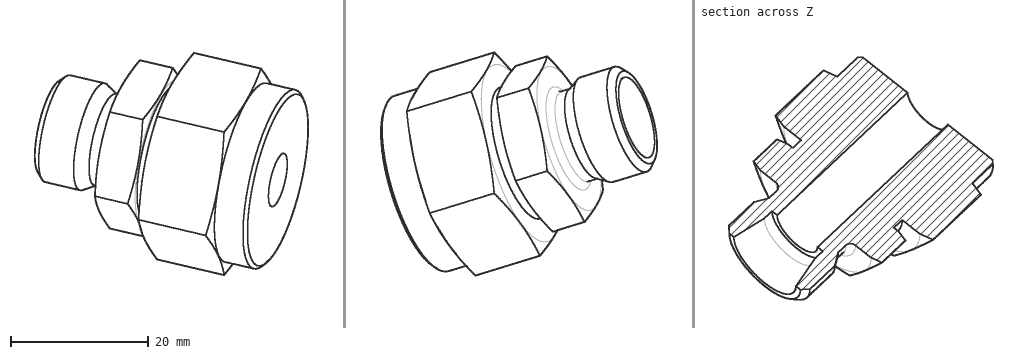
import cadquery as cq
import math

total_length = 35.2

spigot_radius = 8.03
spigot_chamfer = 1.0
spigot_end = 6.4
neck_radius = 6.85
neck_start = 8.38
neck_fillet = 1.0

body_hex_start = 10.95
body_hex_end = 17.0
body_hex_flats = 22.0
body_hex_chamfer_radius = 10.95

collar_radius = 10.03

nut_hex_start = 18.73
nut_hex_end = 30.27
nut_hex_flats = 27.0
nut_hex_chamfer_radius = 13.48
skirt_radius = 13.4
skirt_chamfer_length = 0.5
skirt_chamfer_depth = 0.55

hex_chamfer_angle = 15.0

mouth_radius = 6.12
seat_radius = 5.0
mouth_half_angle = 12.0
seat_depth = 7.0
through_radius = 3.98


def revolve_about_x(profile):
    """Turn a closed profile, drawn as (x, radius), about the X axis."""
    return profile.close().revolve(360, (0, 0, 0), (1, 0, 0))


def hexagon(start, end, across_flats, chamfer_radius):
    """Hexagonal prism along X, flats up and down, with its corners turned off at both ends."""
    corner_radius = across_flats / math.sqrt(3)
    prism = (
        cq.Workplane("YZ")
        .workplane(offset=start)
        .polygon(6, 2 * corner_radius)
        .extrude(end - start)
    )
    setback = (corner_radius - chamfer_radius) * math.tan(math.radians(hex_chamfer_angle))
    turned_envelope = revolve_about_x(
        cq.Workplane("XY")
        .moveTo(start, 0)
        .lineTo(start, chamfer_radius)
        .lineTo(start + setback, corner_radius)
        .lineTo(end - setback, corner_radius)
        .lineTo(end, chamfer_radius)
        .lineTo(end, 0)
    )
    return prism.intersect(turned_envelope)


def turned_core():
    """Spigot, neck, collar and nut skirt as one revolved outline."""
    fillet_start = body_hex_start - neck_fillet
    return revolve_about_x(
        cq.Workplane("XY")
        .lineTo(0, spigot_radius - spigot_chamfer)
        .lineTo(spigot_chamfer, spigot_radius)
        .lineTo(spigot_end, spigot_radius)
        .lineTo(neck_start, neck_radius)
        .lineTo(fillet_start, neck_radius)
        .radiusArc((body_hex_start, neck_radius + neck_fillet), -neck_fillet)
        .lineTo(body_hex_start, collar_radius)
        .lineTo(nut_hex_start, collar_radius)
        .lineTo(nut_hex_start, skirt_radius)
        .lineTo(total_length - skirt_chamfer_length, skirt_radius)
        .lineTo(total_length, skirt_radius - skirt_chamfer_depth)
        .lineTo(total_length, 0)
    )


def bore():
    """Tapered mouth, cylindrical seat with a flat bottom, then a straight hole to the far end."""
    mouth_depth = (mouth_radius - seat_radius) / math.tan(math.radians(mouth_half_angle))
    return revolve_about_x(
        cq.Workplane("XY")
        .lineTo(0, mouth_radius)
        .lineTo(mouth_depth, seat_radius)
        .lineTo(seat_depth, seat_radius)
        .lineTo(seat_depth, through_radius)
        .lineTo(total_length, through_radius)
        .lineTo(total_length, 0)
    )


body_hex = hexagon(body_hex_start, body_hex_end, body_hex_flats, body_hex_chamfer_radius)
nut_hex = hexagon(nut_hex_start, nut_hex_end, nut_hex_flats, nut_hex_chamfer_radius)

result = turned_core().union(body_hex).union(nut_hex).cut(bore())